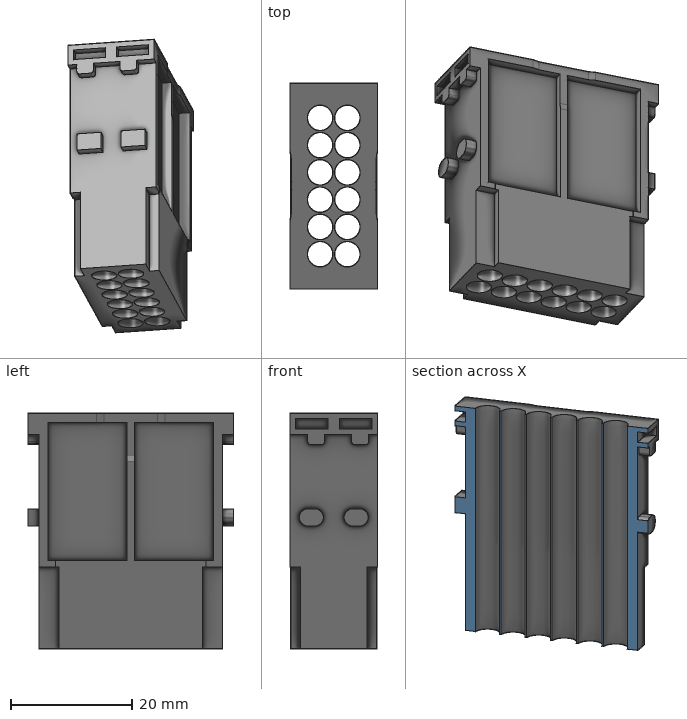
import cadquery as cq

WIDTH = 14.5
LENGTH = 34.0
HEIGHT = 38.9

BODY_LENGTH = 30.3
LOWER_HEIGHT = 13.5
LOWER_BLOCK_LENGTH = 23.7
END_POST_WIDTH = 11.0

FEATURES_PER_END = 2

FLANGE_HEIGHT = 3.5
SLOT_WIDTH = 5.35
SLOT_HEIGHT = 1.7
SLOT_DEPTH = 1.8
SLOT_DROP = 1.75
TAB_WIDTH = 2.8
TAB_HEIGHT = 1.7
TAB_CORNER_RADIUS = 0.5
TAB_OFFSET = 0.73

PIN_LENGTH_X = 4.0
PIN_HEIGHT = 2.85
PIN_SPACING = 7.4
PIN_CENTRE_Z = 21.7

HOLE_DIAMETER = 4.15
HOLE_PITCH = 4.5
HOLE_COLUMNS = 2
HOLE_ROWS = 6

POCKET_DEPTH = 1.85
POCKET_TOP_DROP = 1.5
POCKET_HEIGHT = 22.85
POCKETS_SPAN = 27.35
RIB_WIDTH = 1.3

PANEL_RELIEF_DEPTH = 0.15
PANEL_RELIEF_LENGTH = 24.9
GRIP_RELIEF_DEPTH = 0.3
GRIP_OUTER_LENGTH = 11.3
GRIP_FLOOR_LENGTH = 8.9
GRIP_FLOOR_DROP = 6.95
GRIP_END_DROP = 8.0

HALF_WIDTH = WIDTH / 2
END_OVERHANG = (LENGTH - BODY_LENGTH) / 2
FLANGE_BOTTOM = HEIGHT - FLANGE_HEIGHT
POCKET_TOP = HEIGHT - POCKET_TOP_DROP
POCKET_BOTTOM = POCKET_TOP - POCKET_HEIGHT
POCKET_LENGTH = (POCKETS_SPAN - RIB_WIDTH) / 2
PANEL_WIDTH = WIDTH - 2 * PANEL_RELIEF_DEPTH
SLOT_PITCH = WIDTH / 2


def block(size_x, size_y, bottom, top, x=0.0, y=0.0):
    """Box centred on (x, y), between two heights."""
    return cq.Workplane("XY", origin=(x, y, bottom)).rect(size_x, size_y).extrude(top - bottom)


def make_body():
    """Upper housing and flange over a lower plug with narrowed ends."""
    body = block(WIDTH, BODY_LENGTH, LOWER_HEIGHT, HEIGHT)
    body = body.union(block(WIDTH, LENGTH, FLANGE_BOTTOM, HEIGHT))
    body = body.union(block(PANEL_WIDTH, LOWER_BLOCK_LENGTH, 0, LOWER_HEIGHT))
    return body.union(block(END_POST_WIDTH, BODY_LENGTH, 0, LOWER_HEIGHT))


def make_tabs():
    """Rounded tabs below the flange of the -Y end."""
    tabs = cq.Workplane("XY")
    for side in (-1, 1):
        tab = block(
            TAB_WIDTH,
            END_OVERHANG,
            FLANGE_BOTTOM - TAB_HEIGHT,
            FLANGE_BOTTOM,
            side * SLOT_PITCH / 2 + TAB_OFFSET,
            -(LENGTH - END_OVERHANG) / 2,
        )
        tabs = tabs.add(tab.edges("|Y and <Z").fillet(TAB_CORNER_RADIUS))
    return tabs.combine()


def make_slots():
    """Rectangular blind slots in the flange of the -Y end."""
    slot_centre_z = HEIGHT - SLOT_DROP
    return (
        cq.Workplane("XZ", origin=(0, -LENGTH / 2, slot_centre_z))
        .rarray(SLOT_PITCH, 1, FEATURES_PER_END, 1)
        .rect(SLOT_WIDTH, SLOT_HEIGHT)
        .extrude(-SLOT_DEPTH)
    )


def pin_places(face_y):
    """Pin centres on an XZ plane at the given Y."""
    return cq.Workplane("XZ", origin=(0, face_y, PIN_CENTRE_Z)).rarray(PIN_SPACING, 1, FEATURES_PER_END, 1)


def make_oblong_pins():
    """Round-ended pins on the -Y end face, flush with the flange."""
    return pin_places(-BODY_LENGTH / 2).slot2D(PIN_LENGTH_X, PIN_HEIGHT).extrude(END_OVERHANG)


def make_square_pins():
    """Square-cornered pins on the +Y end face, flush with the flange."""
    return pin_places(LENGTH / 2).rect(PIN_LENGTH_X, PIN_HEIGHT).extrude(END_OVERHANG)


def make_pockets():
    """Two rectangular pockets in the -X side, separated by the rib."""
    pockets = cq.Workplane("XY")
    for side in (-1, 1):
        pocket = block(
            POCKET_DEPTH,
            POCKET_LENGTH,
            POCKET_BOTTOM,
            POCKET_TOP,
            -(WIDTH - POCKET_DEPTH) / 2,
            side * (RIB_WIDTH + POCKET_LENGTH) / 2,
        )
        pockets = pockets.add(pocket)
    return pockets.combine()


def make_panel_relief():
    """Shallow relief below the pocket tops of the -X side, also lowering the rib."""
    x = -(WIDTH - PANEL_RELIEF_DEPTH) / 2
    return block(PANEL_RELIEF_DEPTH, PANEL_RELIEF_LENGTH, LOWER_HEIGHT, POCKET_TOP, x)


def make_grip_relief():
    """Relief in the rim and upper rib of the -X side, with sloping ends."""
    floor_x = -HALF_WIDTH + GRIP_RELIEF_DEPTH
    rim_part = (
        cq.Workplane("XY", origin=(0, 0, POCKET_TOP))
        .polyline([
            (-HALF_WIDTH, -GRIP_OUTER_LENGTH / 2),
            (floor_x, -GRIP_FLOOR_LENGTH / 2),
            (floor_x, GRIP_FLOOR_LENGTH / 2),
            (-HALF_WIDTH, GRIP_OUTER_LENGTH / 2),
        ])
        .close()
        .extrude(POCKET_TOP_DROP)
    )
    rib_part = (
        cq.Workplane("XZ", origin=(0, RIB_WIDTH / 2, 0))
        .polyline([
            (-HALF_WIDTH, POCKET_TOP),
            (floor_x, POCKET_TOP),
            (floor_x, HEIGHT - GRIP_FLOOR_DROP),
            (-HALF_WIDTH + PANEL_RELIEF_DEPTH, HEIGHT - GRIP_END_DROP),
            (-HALF_WIDTH, HEIGHT - GRIP_END_DROP),
        ])
        .close()
        .extrude(RIB_WIDTH)
    )
    return rim_part.union(rib_part)


def make_holes():
    """Grid of contact holes through the full height."""
    return (
        cq.Workplane("XY")
        .rarray(HOLE_PITCH, HOLE_PITCH, HOLE_COLUMNS, HOLE_ROWS)
        .circle(HOLE_DIAMETER / 2)
        .extrude(HEIGHT)
    )


result = make_body()

tabs = make_tabs()
slots = make_slots()
result = result.union(tabs).union(tabs.mirror("XZ"))
result = result.cut(slots).cut(slots.mirror("XZ"))
result = result.union(make_oblong_pins()).union(make_square_pins())

for feature in (make_pockets(), make_panel_relief(), make_grip_relief()):
    result = result.cut(feature).cut(feature.mirror("YZ"))

result = result.cut(make_holes())